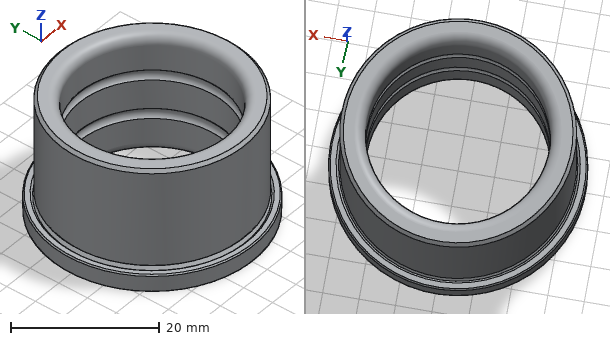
import cadquery as cq

height = 20.0
flange_radius = 17.5
flange_height = 3.0
flange_chamfer = 0.2
body_radius = 16.0
body_chamfer = 0.5
bore_radius = 12.5
bore_fillet = 1.5

relief_reach = 0.5
relief_step = 0.332

groove_offset = 3.35
groove_width = 1.75
groove_depth = 0.5


def make_blank():
    """Plain flange and body with chamfered outer edges."""
    flange = (
        cq.Workplane("XY").circle(flange_radius).extrude(flange_height)
        .edges().chamfer(flange_chamfer)
    )
    body = (
        cq.Workplane("XY").circle(body_radius).extrude(height)
        .faces(">Z").edges().chamfer(body_chamfer)
    )
    return flange.union(body)


def make_bore(blank):
    """Through bore with rounded mouths at both ends."""
    bored = blank.cut(cq.Workplane("XY").circle(bore_radius).extrude(height))
    mouths = cq.selectors.RadiusNthSelector(0)
    return bored.faces("<Z or >Z").edges(mouths).fillet(bore_fillet)


def revolve_profile(profile):
    """Revolve a closed radius-height profile about Z."""
    return profile.close().revolve(360, (0, 0, 0), (0, 1, 0))


def make_relief():
    """Ring cutter whose section is a rectangle turned 45 degrees."""
    upper_height = flange_height + relief_reach
    outer_radius = body_radius + relief_reach
    return revolve_profile(
        cq.Workplane("XZ")
        .moveTo(body_radius, upper_height)
        .lineTo(body_radius - relief_step, upper_height - relief_step)
        .lineTo(outer_radius - relief_step, flange_height - relief_step)
        .lineTo(outer_radius, flange_height)
    )


def make_groove(center_height):
    """Ring cutter with a circular-arc section on the bore wall."""
    half_width = groove_width / 2
    return revolve_profile(
        cq.Workplane("XZ")
        .moveTo(bore_radius, center_height - half_width)
        .threePointArc(
            (bore_radius + groove_depth, center_height),
            (bore_radius, center_height + half_width),
        )
    )


result = make_bore(make_blank()).cut(make_relief())
for side in (-1, 1):
    result = result.cut(make_groove(height / 2 + side * groove_offset))